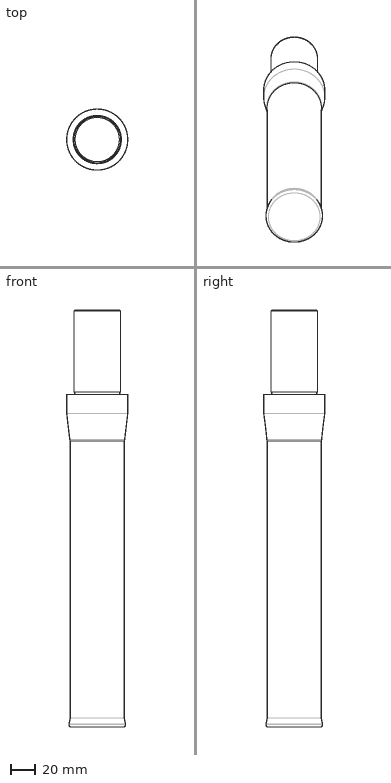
import cadquery as cq
import math

total_length = 345.0

sleeve_radius = 22.5
foot_radius = 23.5
foot_height = 7.5
foot_rim_height = 2.8
foot_round = 2.0
taper_bottom = 236.5
taper_lip_height = 1.0
taper_lip_width = 0.5
collar_bottom = 259.5
collar_height = 16.0
collar_top = collar_bottom + collar_height
collar_radius = 25.35

rod_radius = 19.3
neck_radius = 18.5
rod_top_chamfer = 1.0
shoulder_gap = 1.7
rod_shoulder = collar_top + shoulder_gap
bore_depth = collar_height
bore_chamfer = 1.5

axis_start = (0, 0, 0)
axis_end = (0, 1, 0)


def make_sleeve():
    """Revolved sleeve: rounded foot, tube, taper, collar and chamfered blind bore."""
    bore_floor = collar_top - bore_depth
    round_offset = foot_round * math.sqrt(0.5)
    round_middle = (foot_radius - foot_round + round_offset, foot_round - round_offset)
    return (
        cq.Workplane("XZ")
        .moveTo(0, 0)
        .lineTo(foot_radius - foot_round, 0)
        .threePointArc(round_middle, (foot_radius, foot_round))
        .lineTo(foot_radius, foot_rim_height)
        .lineTo(sleeve_radius, foot_height)
        .lineTo(sleeve_radius, taper_bottom)
        .lineTo(sleeve_radius + taper_lip_width, taper_bottom + taper_lip_height)
        .lineTo(collar_radius, collar_bottom)
        .lineTo(collar_radius, collar_top)
        .lineTo(neck_radius + bore_chamfer, collar_top)
        .lineTo(neck_radius, collar_top - bore_chamfer)
        .lineTo(neck_radius, bore_floor)
        .lineTo(0, bore_floor)
        .close()
        .revolve(360, axis_start, axis_end)
    )


def make_rod():
    """Rod with a chamfered top and a slightly thinner neck filling the sleeve bore."""
    neck_bottom = collar_top - bore_depth
    return (
        cq.Workplane("XZ")
        .moveTo(0, neck_bottom)
        .lineTo(neck_radius, neck_bottom)
        .lineTo(neck_radius, rod_shoulder)
        .lineTo(rod_radius, rod_shoulder)
        .lineTo(rod_radius, total_length - rod_top_chamfer)
        .lineTo(rod_radius - rod_top_chamfer, total_length)
        .lineTo(0, total_length)
        .close()
        .revolve(360, axis_start, axis_end)
    )


sleeve = make_sleeve()
rod = make_rod()
result = cq.Compound.makeCompound([sleeve.val(), rod.val()])